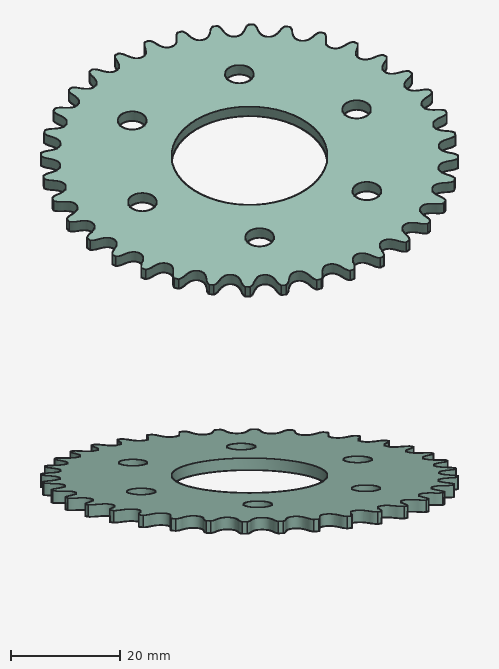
import cadquery as cq
import math

OVERALL_WIDTH = 76.2
THICKNESS = 2.3

TOOTH_COUNT = 36
PITCH_DIAMETER = 73.0
ROLLER_DIAMETER = 3.35
SEAT_CLEARANCE = 0.1

BORE_DIAMETER = 28.6
BOLT_COUNT = 6
BOLT_CIRCLE_DIAMETER = 47.6
BOLT_HOLE_DIAMETER = 5.25

TOOTH_ANGLE = 360 / TOOTH_COUNT
HALF_TOOTH_ANGLE = TOOTH_ANGLE / 2
PITCH_RADIUS = PITCH_DIAMETER / 2

SEAT_RADIUS = (1.005 * ROLLER_DIAMETER + SEAT_CLEARANCE) / 2
SEAT_HALF_ANGLE = 90 - (35 + 60 / TOOTH_COUNT)
SHOULDER_ANGLE = 18 - 56 / TOOTH_COUNT
TOPPING_ANGLE = 17 - 64 / TOOTH_COUNT
SHOULDER_OFFSET = 0.8 * ROLLER_DIAMETER
TOPPING_OFFSET = 1.4 * ROLLER_DIAMETER
SHOULDER_RADIUS = SHOULDER_OFFSET + SEAT_RADIUS
TOPPING_RADIUS = (
    SHOULDER_OFFSET * math.cos(math.radians(SHOULDER_ANGLE))
    + TOPPING_OFFSET * math.cos(math.radians(TOPPING_ANGLE))
    - SHOULDER_RADIUS
)


def polar(radius, angle, center=(0, 0)):
    """Point at a distance and direction (degrees from +X) from a centre."""
    x, y = center
    turn = math.radians(angle)
    return (x + radius * math.cos(turn), y + radius * math.sin(turn))


def rotate(point, angle):
    x, y = point
    return polar(math.hypot(x, y), math.degrees(math.atan2(y, x)) + angle)


def mirror(point):
    """Reflect a point across the X axis."""
    return (point[0], -point[1])


def half_tooth_space():
    """Points from the root on +X up to the tooth tip, each arc given by its start, middle and end."""
    seat_center = (PITCH_RADIUS, 0)
    seat_end_angle = 180 - SEAT_HALF_ANGLE
    shoulder_end_angle = seat_end_angle - SHOULDER_ANGLE
    shoulder_center = polar(-SHOULDER_OFFSET, seat_end_angle, seat_center)
    topping_center = polar(TOPPING_OFFSET, 90 + HALF_TOOTH_ANGLE, seat_center)
    topping_start_angle = shoulder_end_angle - 180
    tip_rise = OVERALL_WIDTH / 2 - topping_center[0]
    tip_angle = -math.degrees(math.acos(tip_rise / TOPPING_RADIUS))

    seat_end = polar(SEAT_RADIUS, seat_end_angle, seat_center)
    shoulder_middle = polar(SHOULDER_RADIUS, seat_end_angle - SHOULDER_ANGLE / 2, shoulder_center)
    shoulder_end = polar(SHOULDER_RADIUS, shoulder_end_angle, shoulder_center)
    topping_start = polar(TOPPING_RADIUS, topping_start_angle, topping_center)
    topping_middle = polar(TOPPING_RADIUS, (topping_start_angle + tip_angle) / 2, topping_center)
    tip = polar(TOPPING_RADIUS, tip_angle, topping_center)
    return seat_end, shoulder_middle, shoulder_end, topping_start, topping_middle, tip


def toothed_blank():
    seat_end, shoulder_middle, shoulder_end, topping_start, topping_middle, tip = half_tooth_space()
    root = (PITCH_RADIUS - SEAT_RADIUS, 0)
    outline = cq.Workplane("XY").moveTo(*mirror(tip))
    for tooth in range(TOOTH_COUNT):
        angle = tooth * TOOTH_ANGLE
        if tooth > 0:
            outline = outline.lineTo(*rotate(mirror(tip), angle))
        outline = (
            outline.threePointArc(rotate(mirror(topping_middle), angle), rotate(mirror(topping_start), angle))
            .lineTo(*rotate(mirror(shoulder_end), angle))
            .threePointArc(rotate(mirror(shoulder_middle), angle), rotate(mirror(seat_end), angle))
            .threePointArc(rotate(root, angle), rotate(seat_end, angle))
            .threePointArc(rotate(shoulder_middle, angle), rotate(shoulder_end, angle))
            .lineTo(*rotate(topping_start, angle))
            .threePointArc(rotate(topping_middle, angle), rotate(tip, angle))
        )
    return outline.close().extrude(THICKNESS)


def cut_bore(body):
    return body.faces(">Z").workplane().hole(BORE_DIAMETER)


def cut_bolt_holes(body):
    return (
        body.faces(">Z")
        .workplane()
        .polarArray(BOLT_CIRCLE_DIAMETER / 2, 0, 360, BOLT_COUNT)
        .hole(BOLT_HOLE_DIAMETER)
    )


result = cut_bolt_holes(cut_bore(toothed_blank()))